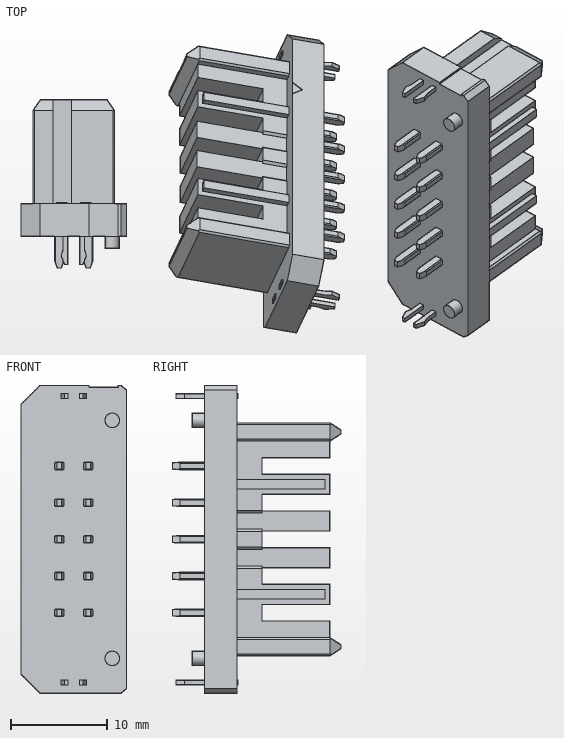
import cadquery as cq

base_width = 11.0
base_height = 31.99
base_depth = 3.4
left_corner = 2.0
right_corner_x = 0.6
right_corner_z = 0.5
notch_x_start = 1.6
notch_x_end = 4.6
notch_depth = 0.2

pitch = 3.81
row_count = 5
column_spacing = 3.0
row_positions = [(i - (row_count - 1) / 2) * pitch for i in range(row_count)]

pin_width = 1.0
pin_height = 0.8
pin_bevel = 0.12
pin_length = 3.3
pin_tip_length = 0.8
pin_tip_width = 0.43
pin_tip_height = 0.68

clip_z = 14.87
clip_thickness = 0.5
clip_inner_x = 0.6
clip_outer_x = 1.1
clip_barb_x = 1.3
clip_tip_x = 0.95
clip_shank_length = 1.25
clip_barb_length = 2.05
clip_length = 2.95
clip_head_inner_x = 0.7
clip_head_outer_x = 1.8
clip_head_depth = 0.1

peg_diameter = 1.5
peg_length = 1.25
peg_x = 4.0
peg_z = 12.36

block_half_width = 3.45
block_top_y = 13.05
wall_half_width = 4.25
wall_inner_z = 10.2
wall_outer_z = 12.1
wall_tip_y = 14.2
wall_bevel = 0.2
wall_tip_half_width = 3.45
wall_tip_thickness = 0.4

slot_height = 1.7
slot_floor_y = 6.0

key_z = 1.5 * pitch
key_height = 1.0
key_top_y = 12.55
key_projection = 0.6
relief_z = 0.5 * pitch
relief_floor_height = 1.7
relief_mouth_height = 2.2
relief_depth = 0.25

groove_x_start = -2.17
groove_x_end = -0.24
groove_depth = 0.88

arrow_z = row_positions[-1]
arrow_half_height = 0.72
arrow_length = 1.05
arrow_depth = 0.05


def box(x0, x1, y0, y1, z0, z1):
    """Box given by its limits along the three axes."""
    return cq.Workplane("XY").box(x1 - x0, y1 - y0, z1 - z0, centered=False).translate((x0, y0, z0))


def xz_plane(y):
    """XZ sketch plane at position y that extrudes towards +Y, with local x = X and local y = -Z."""
    return cq.Workplane(cq.Plane(origin=(0, y, 0), xDir=(1, 0, 0), normal=(0, 1, 0)))


def make_base():
    x = base_width / 2
    z = base_height / 2
    outline = [
        (-x + left_corner, z),
        (x - right_corner_x, z),
        (x, z - right_corner_z),
        (x, -z + right_corner_z),
        (x - right_corner_x, -z),
        (-x + left_corner, -z),
        (-x, -z + left_corner),
        (-x, z - left_corner),
    ]
    base = xz_plane(0).polyline(outline).close().extrude(base_depth)
    base = base.cut(box(notch_x_start, notch_x_end, 0, base_depth, z - notch_depth, z))
    arrow = (
        cq.Workplane("YZ", origin=(-x, 0, 0))
        .moveTo(base_depth, arrow_z - arrow_half_height)
        .lineTo(base_depth, arrow_z + arrow_half_height)
        .lineTo(base_depth - arrow_length, arrow_z)
        .close()
        .extrude(arrow_depth)
    )
    return base.cut(arrow)


def make_pin():
    """Bevelled pin standing on Y = 0 and tapering to its tip at -Y."""
    shank = xz_plane(-pin_length).rect(pin_width, pin_height).extrude(pin_length)
    shank = shank.edges("|Y").chamfer(pin_bevel)
    tip = (
        xz_plane(-pin_length)
        .rect(pin_tip_width, pin_tip_height)
        .workplane(offset=pin_tip_length)
        .rect(pin_width, pin_height)
        .loft(ruled=True)
    )
    straight_length = pin_length - pin_tip_length
    straight = xz_plane(-straight_length).rect(pin_width, pin_height).extrude(straight_length)
    return shank.intersect(straight.union(tip))


def make_clip():
    """Barbed leg of the +X side at Z = 0 and, as a second piece, its head on the +Y face of the base."""
    leg = (
        cq.Workplane("XY")
        .moveTo(clip_inner_x, 0)
        .lineTo(clip_outer_x, 0)
        .lineTo(clip_outer_x, -clip_shank_length)
        .lineTo(clip_barb_x, -clip_barb_length)
        .lineTo(clip_tip_x, -clip_length)
        .lineTo(clip_inner_x, -clip_length)
        .close()
        .extrude(clip_thickness / 2, both=True)
    )
    head = box(
        clip_head_inner_x, clip_head_outer_x,
        base_depth, base_depth + clip_head_depth,
        -clip_thickness / 2, clip_thickness / 2,
    )
    return leg, head


def make_end_wall():
    """Upper end wall with bevelled upright edges and a roof-shaped tip."""
    thickness = wall_outer_z - wall_inner_z
    centre_z = (wall_outer_z + wall_inner_z) / 2
    prism = xz_plane(base_depth).rect(2 * wall_half_width, thickness).extrude(wall_tip_y - base_depth)
    prism = prism.edges("|Y").chamfer(wall_bevel)
    straight = xz_plane(base_depth).rect(2 * wall_half_width, thickness).extrude(block_top_y - base_depth)
    tip = (
        xz_plane(block_top_y)
        .rect(2 * wall_half_width, thickness)
        .workplane(offset=wall_tip_y - block_top_y)
        .rect(2 * wall_tip_half_width, wall_tip_thickness)
        .loft(ruled=True)
    )
    return prism.intersect(straight.union(tip)).translate((0, 0, centre_z))


def make_relief(side):
    """Cutter for the relief on one side of a middle tooth: flat over the tooth, trapezoidal at its root."""
    outer = side * block_half_width
    inner = side * (block_half_width - relief_depth)
    root = (
        xz_plane(base_depth)
        .moveTo(outer, -relief_mouth_height / 2)
        .lineTo(inner, -relief_floor_height / 2)
        .lineTo(inner, relief_floor_height / 2)
        .lineTo(outer, relief_mouth_height / 2)
        .close()
        .extrude(slot_floor_y - base_depth)
    )
    tooth = box(min(inner, outer), max(inner, outer), slot_floor_y, block_top_y, -pitch / 2, pitch / 2)
    return root.union(tooth)


def make_block():
    w = block_half_width
    block = box(-w, w, base_depth, block_top_y, -wall_inner_z, wall_inner_z)
    for z in (-relief_z, relief_z):
        for side in (-1, 1):
            block = block.cut(make_relief(side).translate((0, 0, z)))
    for z in (-key_z, key_z):
        key_x = w + key_projection
        block = block.union(
            box(-key_x, key_x, base_depth, key_top_y, z - key_height / 2, z + key_height / 2)
        )
    for z in row_positions:
        block = block.cut(
            box(-base_width, base_width, slot_floor_y, block_top_y, z - slot_height / 2, z + slot_height / 2)
        )
    upper_wall = make_end_wall()
    lower_wall = upper_wall.mirror("XY")
    groove = box(
        groove_x_start, groove_x_end, base_depth, wall_tip_y, wall_outer_z - groove_depth, wall_outer_z
    )
    return block.union(upper_wall.cut(groove)).union(lower_wall)


result = make_base().union(make_block())

pin = make_pin()
for row_z in row_positions:
    for column_x in (-column_spacing / 2, column_spacing / 2):
        result = result.union(pin.translate((column_x, 0, row_z)))

for end_z in (-clip_z, clip_z):
    for clip_part in make_clip():
        right_half = clip_part.translate((0, 0, end_z))
        result = result.union(right_half).union(right_half.mirror("YZ"))

for end_z in (-peg_z, peg_z):
    peg = xz_plane(-peg_length).center(peg_x, -end_z).circle(peg_diameter / 2).extrude(peg_length)
    result = result.union(peg)